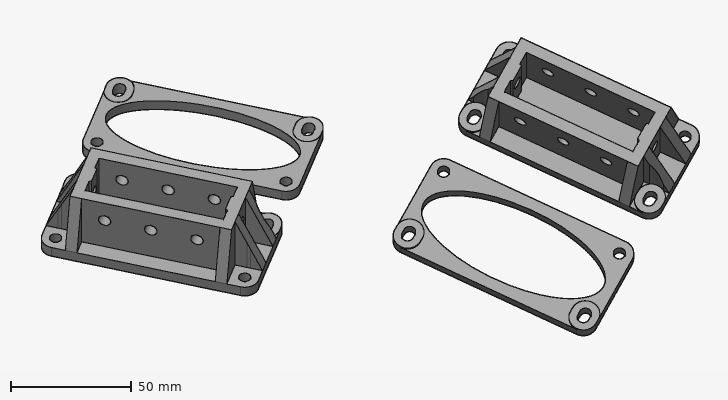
import cadquery as cq

plate_length = 94.0
plate_width = 45.0
plate_thickness = 5.0
corner_radius = 6.0
mount_hole_diameter = 5.0
slot_travel = 2.0
pad_rise = 0.9
plate_pitch = 59.9

frame_rim = 5.0

housing_height = 30.0
wall = 5.0
cavity_length = 60.0
cavity_width = 20.1
box_offset = -0.5
screw_diameter = 5.3
screw_height = 20.0
screw_pitch = 20.0
end_pad_thickness = 0.9
end_pad_root_width = 8.6
end_pad_face_width = 7.6

rib_thickness = 5.0

half_length = plate_length / 2
half_width = plate_width / 2
hole_x = half_length - corner_radius
hole_y = half_width - corner_radius
slot_y = hole_y - slot_travel / 2
pad_length = 2 * corner_radius + slot_travel
box_length = cavity_length + 2 * wall
box_width = cavity_width + 2 * wall
box_front = box_offset - box_width / 2
box_rear = box_offset + box_width / 2
wall_height = housing_height - plate_thickness
sides = (-1, 1)
rear_points = [(side * hole_x, slot_y) for side in sides]
front_points = [(side * hole_x, -hole_y) for side in sides]


def base_plate():
    """Flat plate with rounded vertical corners, centred in X and Y, bottom at Z = 0."""
    return (
        cq.Workplane("XY")
        .box(plate_length, plate_width, plate_thickness, centered=(True, True, False))
        .edges("|Z")
        .fillet(corner_radius)
    )


def tilted_pads():
    """Oblong pads at the rear corners whose tops slope down to the plate towards the front."""
    columns = (
        cq.Workplane("XY")
        .pushPoints(rear_points)
        .slot2D(pad_length, 2 * corner_radius, 90)
        .extrude(plate_thickness + pad_rise)
    )
    wedge = (
        cq.Workplane("YZ", origin=(-half_length, 0, 0))
        .moveTo(half_width, 0)
        .lineTo(half_width, plate_thickness + pad_rise)
        .lineTo(half_width - pad_length, plate_thickness)
        .lineTo(half_width - pad_length, 0)
        .close()
        .extrude(plate_length)
    )
    return columns.intersect(wedge)


def mounting_holes():
    """Round holes at the front corners and slotted holes through the rear pads."""
    depth = plate_thickness + pad_rise
    slots = (
        cq.Workplane("XY")
        .pushPoints(rear_points)
        .slot2D(mount_hole_diameter + slot_travel, mount_hole_diameter, 90)
        .extrude(depth)
    )
    holes = cq.Workplane("XY").pushPoints(front_points).circle(mount_hole_diameter / 2).extrude(depth)
    return slots.union(holes)


def box_walls():
    """Solid block of the housing box, standing on the plate."""
    return (
        cq.Workplane("XY", origin=(0, box_offset, plate_thickness))
        .rect(box_length, box_width)
        .extrude(wall_height)
    )


def cavity():
    """Open-topped cavity down to the plate, narrowed by a bevelled pad on each end wall."""
    pocket = (
        cq.Workplane("XY", origin=(0, box_offset, plate_thickness))
        .rect(cavity_length, cavity_width)
        .extrude(wall_height)
    )
    for side in sides:
        root_x = side * cavity_length / 2
        face_x = side * (cavity_length / 2 - end_pad_thickness)
        end_pad = (
            cq.Workplane("XY", origin=(0, box_offset, plate_thickness))
            .moveTo(root_x, -end_pad_root_width / 2)
            .lineTo(face_x, -end_pad_face_width / 2)
            .lineTo(face_x, end_pad_face_width / 2)
            .lineTo(root_x, end_pad_root_width / 2)
            .close()
            .extrude(wall_height)
        )
        pocket = pocket.cut(end_pad)
    return pocket


def end_ribs():
    """Two sloping ribs on each end, in line with the long edges of the cavity."""
    profile = [
        (-half_length, plate_thickness),
        (-box_length / 2, housing_height),
        (box_length / 2, housing_height),
        (half_length, plate_thickness),
    ]
    rib_centre = (cavity_width - rib_thickness) / 2
    ribs = cq.Workplane("XY")
    for side in sides:
        rib = (
            cq.Workplane("XZ", origin=(0, box_offset + side * rib_centre, 0))
            .polyline(profile)
            .close()
            .extrude(rib_thickness / 2, both=True)
        )
        ribs = ribs.add(rib)
    return ribs.combine()


def side_ribs():
    """Sloping ribs at both ends of each long side, flush with the ends of the box."""
    profile = [
        (-half_width, plate_thickness),
        (box_front, housing_height),
        (box_rear, housing_height),
        (half_width, plate_thickness),
    ]
    rib_centre = (box_length - rib_thickness) / 2
    ribs = cq.Workplane("XY")
    for side in sides:
        rib = (
            cq.Workplane("YZ", origin=(side * rib_centre, 0, 0))
            .polyline(profile)
            .close()
            .extrude(rib_thickness / 2, both=True)
        )
        ribs = ribs.add(rib)
    return ribs.combine()


def fastener_clearance():
    """Vertical space above the corner holes, kept free of ribs."""
    rear = (
        cq.Workplane("XY", origin=(0, 0, plate_thickness))
        .pushPoints(rear_points)
        .slot2D(pad_length, 2 * corner_radius, 90)
        .extrude(wall_height)
    )
    front = (
        cq.Workplane("XY", origin=(0, 0, plate_thickness))
        .pushPoints(front_points)
        .circle(corner_radius)
        .extrude(wall_height)
    )
    return rear.union(front)


def screw_holes():
    """Three cross holes through the long walls and one lengthwise hole through the end walls."""
    cross = (
        cq.Workplane("XZ", origin=(0, 0, screw_height))
        .pushPoints([(step * screw_pitch, 0) for step in (-1, 0, 1)])
        .circle(screw_diameter / 2)
        .extrude(half_width, both=True)
    )
    lengthwise = (
        cq.Workplane("YZ", origin=(0, box_offset, screw_height))
        .circle(screw_diameter / 2)
        .extrude(half_length, both=True)
    )
    return cross.union(lengthwise)


def make_frame():
    """Flat frame with an elliptical opening."""
    opening = (
        cq.Workplane("XY")
        .ellipse(half_length - frame_rim, half_width - frame_rim)
        .extrude(plate_thickness + pad_rise)
    )
    return base_plate().union(tilted_pads()).cut(opening).cut(mounting_holes())


def make_housing():
    """Ribbed open box standing on a mounting plate."""
    upper = box_walls().union(end_ribs()).union(side_ribs())
    upper = upper.cut(fastener_clearance()).cut(cavity()).cut(screw_holes())
    return base_plate().union(upper).union(tilted_pads()).cut(mounting_holes())


housing = make_housing()
frame = make_frame().translate((0, plate_pitch, 0))

result = cq.Compound.makeCompound([housing.val(), frame.val()])